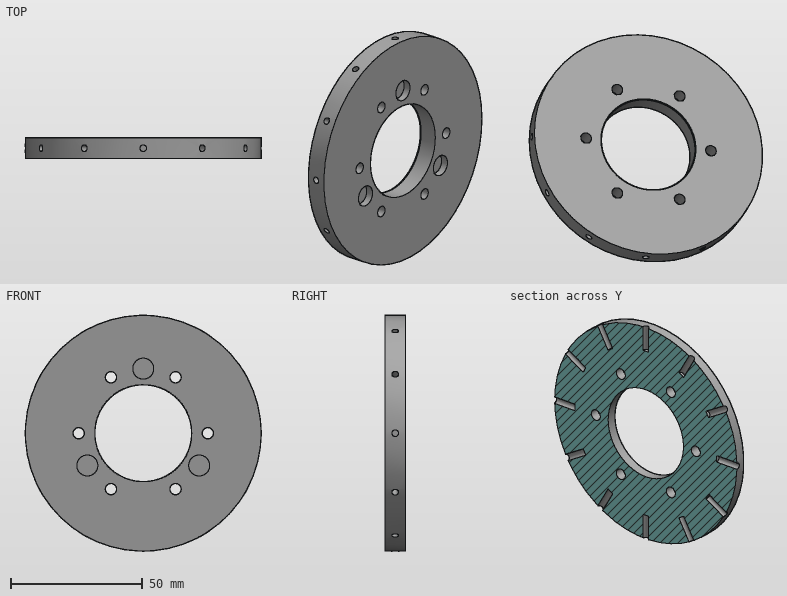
import cadquery as cq

outer_diameter = 89.95
bore_diameter = 36.8
thickness = 8.0

bore_step_diameter = 37.4
bore_step_depth = 0.5

pitch_radius = 24.6
through_hole_count = 6
through_hole_diameter = 4.2
first_through_hole_angle = 0.0
pocket_count = 3
pocket_diameter = 8.0
pocket_depth = 3.0
first_pocket_angle = 90.0

rim_hole_count = 12
rim_hole_diameter = 2.5
rim_hole_depth = 10.0

full_turn = 360.0
outer_radius = outer_diameter / 2
front_y = -thickness / 2
back_y = thickness / 2


def front_plane():
    """Sketch plane on the -Y face, with its normal pointing out of the part."""
    return cq.Workplane("XZ", origin=(0, front_y, 0))


def make_ring():
    """Flat disc with a central bore, centred on the origin."""
    return (
        front_plane()
        .circle(outer_radius)
        .circle(bore_diameter / 2)
        .extrude(-thickness)
    )


def make_bore_step_cutter():
    """Disc that widens the bore next to the back face."""
    return (
        cq.Workplane("XZ", origin=(0, back_y, 0))
        .circle(bore_step_diameter / 2)
        .extrude(bore_step_depth)
    )


def make_pitch_circle_cutters(diameter, depth, count, start_angle):
    """Cylinders sunk into the front face, evenly spaced on the pitch circle."""
    return (
        front_plane()
        .polarArray(pitch_radius, start_angle, full_turn, count)
        .circle(diameter / 2)
        .extrude(-depth)
    )


def make_rim_hole_cutter(angle):
    """Cylinder running inward from the rim, turned about the Y axis."""
    return (
        cq.Workplane("XY", origin=(0, 0, outer_radius - rim_hole_depth))
        .circle(rim_hole_diameter / 2)
        .extrude(rim_hole_depth)
        .rotate((0, 0, 0), (0, 1, 0), angle)
    )


through_holes = make_pitch_circle_cutters(
    through_hole_diameter, thickness, through_hole_count, first_through_hole_angle
)
pockets = make_pitch_circle_cutters(
    pocket_diameter, pocket_depth, pocket_count, first_pocket_angle
)

result = make_ring().cut(make_bore_step_cutter()).cut(through_holes).cut(pockets)
for index in range(rim_hole_count):
    result = result.cut(make_rim_hole_cutter(index * full_turn / rim_hole_count))